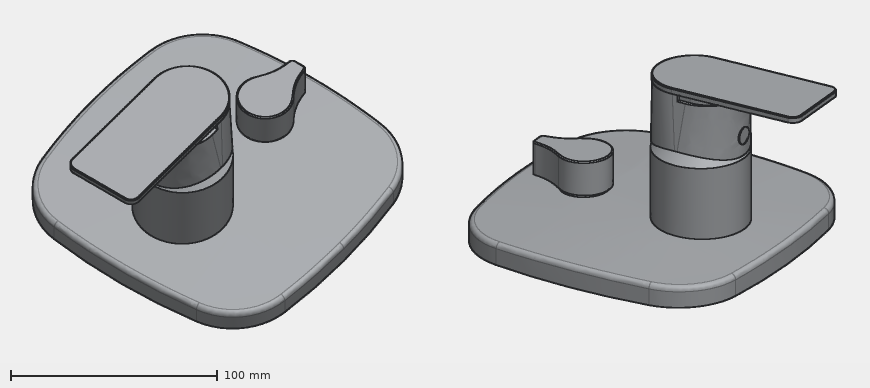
import cadquery as cq
import math

OVERALL_LENGTH = 171.3
PLATE_WIDTH = 153.7
PLATE_HALF = PLATE_WIDTH / 2
SIDE_END = 43.3
SIDE_BOW = 2.9
PLATE_APEX = 13.7
DOME_RADIUS = 1713.4
PLATE_ROUND = 2.7
EMBED_Z = 8.5

BODY_Y = -28.0
BODY_RADIUS = 24.5
BODY_TOP = 51.0
NECK_HEIGHT = 7.7

HEAD_BOTTOM = 52.8
HEAD_TOP = 89.6
HEAD_BASE_RADIUS = 24.3
HEAD_BASE_HALF_FLAT = 0.09
HEAD_TOP_RADIUS = 20.0
HEAD_TOP_HALF_FLAT = 4.3
ARCH_TOP = 58.3
ARCH_RADIUS = 56.5
HEAD_STEP_Z = 83.6
STEP_Y = -27.0
STEP_INSET = 1.4
STEP_SHIFT = 0.9

LEVER_HALF_WIDTH = 20.4
LEVER_TIP_Y = PLATE_HALF - OVERALL_LENGTH
LEVER_TIP_Z = 91.0
LEVER_THICKNESS = 3.0
LEVER_CORNER = 5.0
LEVER_CHAMFER = 0.5

BUTTON_Z = 63.2
BUTTON_RADIUS = 4.5
BUTTON_PROUD = 0.3
BUTTON_FACE_Y = BODY_Y - HEAD_BASE_RADIUS - BUTTON_PROUD
BUTTON_DEPTH = 5.1

KNOB_Y = 38.0
KNOB_RADIUS = 13.9
KNOB_BOTTOM = 15.0
KNOB_TOP = 33.2
KNOB_TIP_DROP = 0.7
KNOB_TIP_Y = 65.5
KNOB_TIP_HALF_WIDTH = 4.6
KNOB_TIP_CORNER = 2.2
KNOB_SHOULDER_X = 11.1
KNOB_CHAMFER = 0.7
STEM_RADIUS = 12.3


def rotated(x, y, angle):
    return (
        x * math.cos(angle) - y * math.sin(angle),
        x * math.sin(angle) + y * math.cos(angle),
    )


def make_plate():
    corner = PLATE_HALF - SIDE_BOW
    bow_radius = (SIDE_END**2 + SIDE_BOW**2) / (2 * SIDE_BOW)
    bow_angle = math.asin(SIDE_END / bow_radius)
    corner_radius = (corner - SIDE_END) / (math.cos(bow_angle) - math.sin(bow_angle))
    corner_center = SIDE_END - corner_radius * math.sin(bow_angle)
    corner_mid = corner_center + corner_radius * math.sqrt(0.5)

    outline = cq.Workplane("XY").moveTo(SIDE_END, corner)
    for turn in range(4):
        angle = -turn * math.pi / 2
        outline = outline.threePointArc(
            rotated(corner_mid, corner_mid, angle), rotated(corner, SIDE_END, angle)
        )
        outline = outline.threePointArc(
            rotated(PLATE_HALF, 0, angle), rotated(corner, -SIDE_END, angle)
        )
    dome = cq.Workplane("XY").sphere(DOME_RADIUS).translate((0, 0, PLATE_APEX - DOME_RADIUS))
    plate = outline.close().extrude(PLATE_APEX).intersect(dome)
    return plate.faces(">Z").edges().fillet(PLATE_ROUND)


def make_body():
    neck_top = BODY_TOP + NECK_HEIGHT
    return (
        cq.Workplane("XZ", origin=(0, BODY_Y, 0))
        .moveTo(0, EMBED_Z)
        .lineTo(BODY_RADIUS, EMBED_Z)
        .lineTo(BODY_RADIUS, BODY_TOP)
        .lineTo(BODY_RADIUS - NECK_HEIGHT, neck_top)
        .lineTo(0, neck_top)
        .close()
        .revolve(360, (0, 0), (0, 1))
    )


def oval(plane, radius, half_flat):
    """Closed oval with its straight sides along Y."""
    return (
        plane.moveTo(radius, -half_flat)
        .lineTo(radius, half_flat)
        .threePointArc((0, half_flat + radius), (-radius, half_flat))
        .lineTo(-radius, -half_flat)
        .threePointArc((0, -half_flat - radius), (radius, -half_flat))
        .close()
    )


def make_head():
    base = oval(
        cq.Workplane("XY", origin=(0, BODY_Y, HEAD_BOTTOM)), HEAD_BASE_RADIUS, HEAD_BASE_HALF_FLAT
    )
    upper = base.workplane(offset=HEAD_TOP - HEAD_BOTTOM)
    head = oval(upper, HEAD_TOP_RADIUS, HEAD_TOP_HALF_FLAT).loft(ruled=True)

    arch = (
        cq.Workplane("YZ", origin=(0, BODY_Y, ARCH_TOP - ARCH_RADIUS))
        .circle(ARCH_RADIUS)
        .extrude(BODY_RADIUS * 2, both=True)
    )
    head = head.cut(arch)

    step_height = HEAD_TOP - HEAD_STEP_Z
    step_length = BODY_RADIUS * 2
    front_block = cq.Workplane("XY").box(
        4 * BODY_RADIUS, step_length, step_height, centered=(True, False, False)
    ).translate((0, STEP_Y - step_length, HEAD_STEP_Z))
    inset_plane = cq.Workplane("XY", origin=(0, BODY_Y - STEP_SHIFT, HEAD_STEP_Z))
    inset_core = oval(inset_plane, HEAD_TOP_RADIUS - STEP_INSET, HEAD_TOP_HALF_FLAT).extrude(step_height)
    return head.cut(front_block.cut(inset_core))


def make_lever():
    round_center_y = BODY_Y + HEAD_TOP_HALF_FLAT
    back_y = round_center_y + LEVER_HALF_WIDTH
    outline = (
        cq.Workplane("XY", origin=(0, 0, HEAD_STEP_Z))
        .moveTo(-LEVER_HALF_WIDTH, LEVER_TIP_Y)
        .lineTo(LEVER_HALF_WIDTH, LEVER_TIP_Y)
        .lineTo(LEVER_HALF_WIDTH, round_center_y)
        .threePointArc((0, back_y), (-LEVER_HALF_WIDTH, round_center_y))
        .close()
        .extrude(LEVER_TIP_Z - HEAD_STEP_Z + LEVER_THICKNESS)
        .edges("|Z and <Y")
        .fillet(LEVER_CORNER)
    )
    tilted_slab = (
        cq.Workplane("YZ")
        .moveTo(back_y, HEAD_TOP)
        .lineTo(LEVER_TIP_Y, LEVER_TIP_Z)
        .lineTo(LEVER_TIP_Y, LEVER_TIP_Z - LEVER_THICKNESS)
        .lineTo(back_y, HEAD_TOP - LEVER_THICKNESS)
        .close()
        .extrude(LEVER_HALF_WIDTH, both=True)
    )
    return outline.intersect(tilted_slab).faces(">Z").edges().chamfer(LEVER_CHAMFER)


def make_button():
    return (
        cq.Workplane("XZ", origin=(0, BUTTON_FACE_Y, BUTTON_Z))
        .circle(BUTTON_RADIUS)
        .extrude(-BUTTON_DEPTH)
    )


def make_knob():
    shoulder_y = KNOB_Y + math.sqrt(KNOB_RADIUS**2 - KNOB_SHOULDER_X**2)
    back_y = KNOB_Y - KNOB_RADIUS
    outline = (
        cq.Workplane("XY", origin=(0, 0, KNOB_BOTTOM))
        .moveTo(0, back_y)
        .threePointArc((KNOB_RADIUS, KNOB_Y), (KNOB_SHOULDER_X, shoulder_y))
        .tangentArcPoint((KNOB_TIP_HALF_WIDTH, KNOB_TIP_Y), relative=False)
        .lineTo(0, KNOB_TIP_Y)
        .close()
        .extrude(KNOB_TOP - KNOB_BOTTOM)
    )
    outline = outline.union(outline.mirror("YZ")).clean()
    outline = outline.edges(
        cq.selectors.BoxSelector(
            (-KNOB_RADIUS, KNOB_TIP_Y - KNOB_CHAMFER, KNOB_BOTTOM),
            (KNOB_RADIUS, KNOB_TIP_Y + KNOB_CHAMFER, KNOB_TOP),
        )
    ).edges("|Z").fillet(KNOB_TIP_CORNER)
    tilted_block = (
        cq.Workplane("YZ")
        .moveTo(back_y, KNOB_BOTTOM)
        .lineTo(KNOB_TIP_Y, KNOB_BOTTOM)
        .lineTo(KNOB_TIP_Y, KNOB_TOP - KNOB_TIP_DROP)
        .lineTo(back_y, KNOB_TOP)
        .close()
        .extrude(2 * KNOB_RADIUS, both=True)
    )
    knob = outline.intersect(tilted_block).faces(">Z").edges().chamfer(KNOB_CHAMFER)
    stem = (
        cq.Workplane("XY", origin=(0, KNOB_Y, EMBED_Z))
        .circle(STEM_RADIUS)
        .extrude(KNOB_BOTTOM - EMBED_Z)
    )
    return knob.union(stem)


result = make_plate()
for component in (make_body(), make_head(), make_lever(), make_button(), make_knob()):
    result = result.union(component)